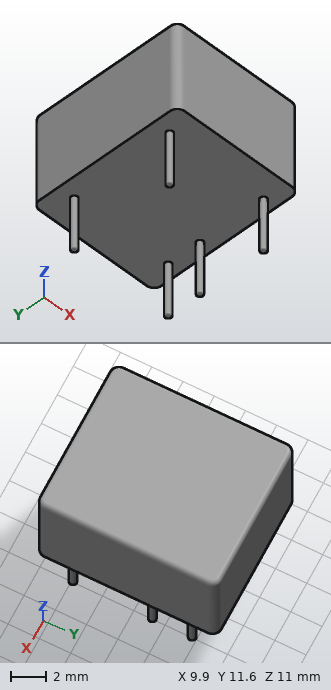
import cadquery as cq

HOUSING_WIDTH = 9.9
HOUSING_LENGTH = 11.6
TOTAL_HEIGHT = 11.0
PIN_LENGTH = 4.1
HOUSING_HEIGHT = TOTAL_HEIGHT - PIN_LENGTH
CORNER_RADIUS = 0.58
TOP_EDGE_RADIUS = 0.29

PIN_DIAMETER = 0.5
PIN_TIP_RADIUS = 0.1
PIN_PITCH = 2.54
LEFT_COLUMN_X = -3.65
RIGHT_COLUMN_X = LEFT_COLUMN_X + 3 * PIN_PITCH
FRONT_ROW_Y = -3.91
MIDDLE_ROW_Y = FRONT_ROW_Y + 2 * PIN_PITCH
BACK_ROW_Y = FRONT_ROW_Y + 3 * PIN_PITCH

PIN_POSITIONS = [
    (LEFT_COLUMN_X, FRONT_ROW_Y),
    (LEFT_COLUMN_X, BACK_ROW_Y),
    (RIGHT_COLUMN_X, FRONT_ROW_Y),
    (RIGHT_COLUMN_X, MIDDLE_ROW_Y),
    (RIGHT_COLUMN_X, BACK_ROW_Y),
]


def make_housing():
    """Block with rounded vertical corners and a rounded top rim."""
    block = cq.Workplane("XY").box(
        HOUSING_WIDTH, HOUSING_LENGTH, HOUSING_HEIGHT, centered=(True, True, False)
    )
    block = block.edges("|Z").fillet(CORNER_RADIUS)
    return block.faces(">Z").edges().fillet(TOP_EDGE_RADIUS)


def make_pin(x, y):
    """Round pin hanging from the housing underside, with a rounded tip."""
    pin = cq.Workplane("XY").center(x, y).circle(PIN_DIAMETER / 2).extrude(-PIN_LENGTH)
    return pin.faces("<Z").edges().fillet(PIN_TIP_RADIUS)


housing = make_housing()
pins = [make_pin(x, y) for x, y in PIN_POSITIONS]

result = cq.Compound.makeCompound([housing.val(), *[pin.val() for pin in pins]])